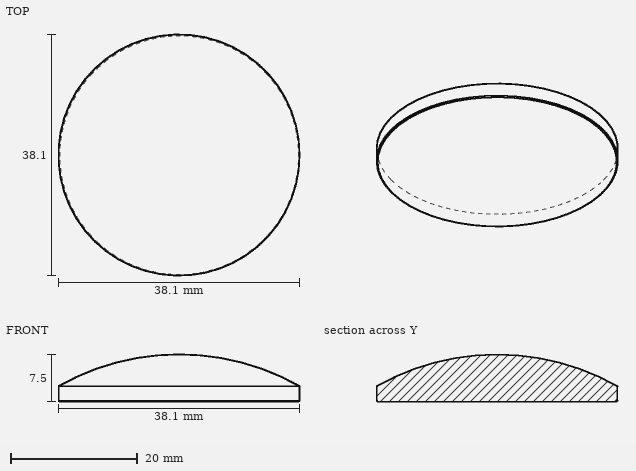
import cadquery as cq
import math

diameter = 38.1
center_thickness = 7.5
rim_height = 2.48
base_chamfer = 0.2

radius = diameter / 2
dome_height = center_thickness - rim_height
sphere_radius = (radius**2 + dome_height**2) / (2 * dome_height)

mid_angle = math.asin(radius / sphere_radius) / 2
sphere_center_z = center_thickness - sphere_radius
arc_mid_point = (
    sphere_radius * math.sin(mid_angle),
    sphere_center_z + sphere_radius * math.cos(mid_angle),
)

half_section = (
    cq.Workplane("XZ")
    .lineTo(radius - base_chamfer, 0)
    .lineTo(radius, base_chamfer)
    .lineTo(radius, rim_height)
    .threePointArc(arc_mid_point, (0, center_thickness))
    .close()
)
result = half_section.revolve(360, (0, 0), (0, 1))